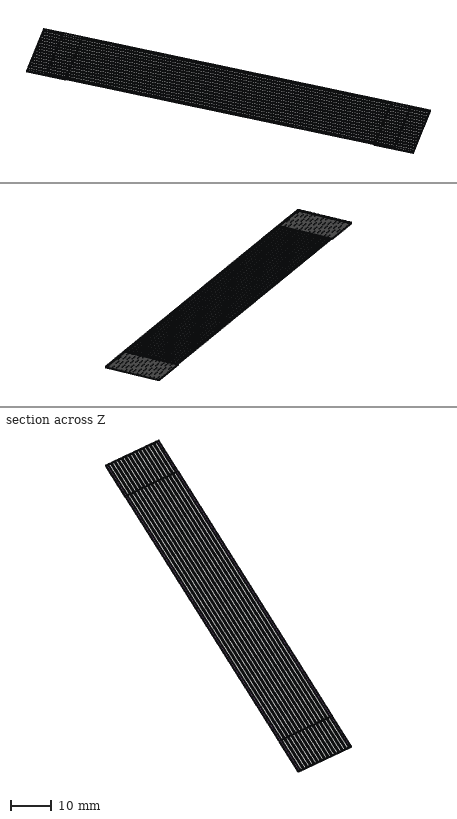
import cadquery as cq

LENGTH = 100.0
WIDTH = 15.0
HEIGHT = 0.36

FILM = 0.045
CHANNEL_DEPTH = 0.05
CHANNEL_WIDTH = 0.7
CHANNEL_COUNT = 14
PITCH = 1.0

BARE_LENGTH = 5.0
STIFFENER_LENGTH = 10.0

COVER_BOTTOM = HEIGHT - FILM
CHANNEL_FLOOR = COVER_BOTTOM - CHANNEL_DEPTH
BASE_BOTTOM = CHANNEL_FLOOR - FILM


def strip(length, width, bottom, top, x=0.0, y=0.0):
    """Flat strip centred on (x, y) between two levels."""
    block = cq.Workplane("XY").box(length, width, top - bottom, centered=(True, True, False))
    return block.translate((x, y, bottom))


def add_stiffeners(body):
    """Back both ends with a full-width stiffener."""
    offset = (LENGTH - STIFFENER_LENGTH) / 2
    for x in (-offset, offset):
        body = body.union(strip(STIFFENER_LENGTH, WIDTH, 0.0, BASE_BOTTOM, x=x))
    return body


def cut_channels(body):
    """Cut the parallel full-length channels into the top of the base."""
    first_y = -(CHANNEL_COUNT - 1) / 2 * PITCH
    for index in range(CHANNEL_COUNT):
        y = first_y + index * PITCH
        body = body.cut(strip(LENGTH, CHANNEL_WIDTH, CHANNEL_FLOOR, COVER_BOTTOM, y=y))
    return body


def add_cover(body):
    """Close the channels with a cover film that leaves both ends bare."""
    return body.union(strip(LENGTH - 2 * BARE_LENGTH, WIDTH, COVER_BOTTOM, HEIGHT))


base = strip(LENGTH, WIDTH, BASE_BOTTOM, COVER_BOTTOM)
result = add_cover(cut_channels(add_stiffeners(base)))